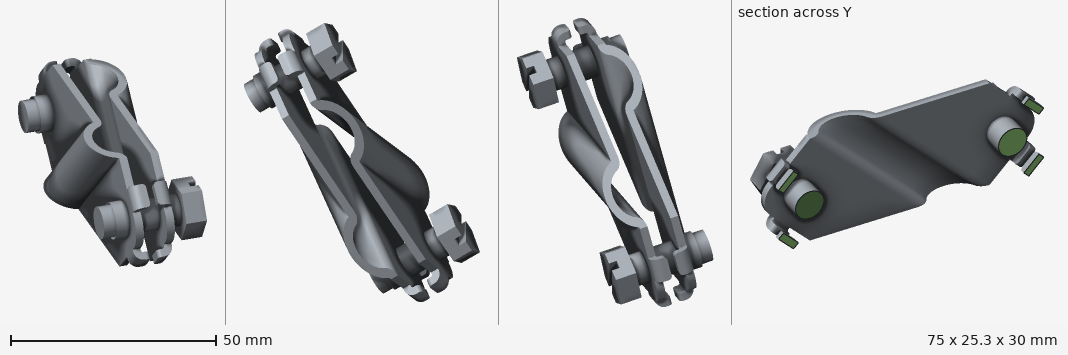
import cadquery as cq
import math


sheet = 2.0
gap = 6.0
plate_length = 74.95
plate_height = 30.0
end_radius = 6.0
corner_reach = plate_length / 2 + end_radius * (math.sqrt(2) - 1)
inner_face = -gap / 2
outer_face = inner_face - sheet

bar_radius = 5.0
trough_radius = bar_radius + sheet
flare_radius = 2.5
trough_angle = 45.0
trough_length = 2 * plate_height
bend_x = math.sqrt(trough_radius**2 - sheet**2)

tab_width = 6.0
tab_reach = 3.0
tab_height = 4.0
tab_inner_radius = 0.5
tab_outer_radius = tab_inner_radius + sheet
tab_tip_radius = 1.0
tab_offset = 18.0

bolt_spacing = 56.4
bolt_diameter = 8.0
bolt_length = 20.0
bolt_tip = -11.4
head_height = 5.3
head_flats = 13.0
slot_width = 2.0
slot_depth = 2.0
bolt_xs = (-bolt_spacing / 2, bolt_spacing / 2)

collar_diameter = 9.2
collar_length = 3.4
countersink_depth = 0.35


def cylinder_y(x, diameter, y_start, y_end):
    """Cylinder along Y at the given x, on the plane z = 0."""
    plane = cq.Plane(origin=(x, y_start, 0), xDir=(1, 0, 0), normal=(0, 1, 0))
    return cq.Workplane(plane).circle(diameter / 2).extrude(y_end - y_start)


def flat_plate(y_start, y_end):
    """Plate outline as a slab with pointed, rounded ends, running towards -Y from y_start to y_end."""
    half_height = plate_height / 2
    corner_x = corner_reach - half_height
    plane = cq.Plane(origin=(0, y_start, 0), xDir=(1, 0, 0), normal=(0, -1, 0))
    slab = (
        cq.Workplane(plane)
        .polyline([
            (corner_reach, 0),
            (corner_x, half_height),
            (-corner_x, half_height),
            (-corner_reach, 0),
            (-corner_x, -half_height),
            (corner_x, -half_height),
        ])
        .close()
        .extrude(y_start - y_end)
    )
    return slab.edges("|Y").edges("<X or >X").fillet(end_radius)


def trough_plane():
    """Cross-section plane of the trough: local x across it, local y away from the inner face."""
    tilt = math.radians(trough_angle)
    along = cq.Vector(math.cos(tilt), 0, math.sin(tilt))
    across = cq.Vector(0, -1, 0).cross(along)
    start = along * (-trough_length / 2) + cq.Vector(0, inner_face, 0)
    return cq.Plane(origin=start, xDir=across, normal=along)


def trough_wall():
    """Rounded ridge standing on the inner face plane."""
    return (
        cq.Workplane(trough_plane())
        .moveTo(-bend_x, 0)
        .lineTo(-bend_x, sheet)
        .threePointArc((0, trough_radius), (bend_x, sheet))
        .lineTo(bend_x, 0)
        .close()
        .extrude(trough_length)
    )


def trough_hollow():
    """Bar seat whose mouth flares tangentially into the inner plate face."""
    flare_centre_x = math.sqrt((bar_radius + flare_radius)**2 - flare_radius**2)
    seat_end_angle = math.atan2(flare_radius, flare_centre_x)
    seat_x = bar_radius * math.cos(seat_end_angle)
    seat_y = bar_radius * math.sin(seat_end_angle)
    mid_angle = (seat_end_angle + math.pi / 2) / 2
    flare_x = flare_centre_x - flare_radius * math.cos(mid_angle)
    flare_y = flare_radius - flare_radius * math.sin(mid_angle)
    return (
        cq.Workplane(trough_plane())
        .moveTo(-flare_centre_x, 0)
        .threePointArc((-flare_x, flare_y), (-seat_x, seat_y))
        .threePointArc((0, bar_radius), (seat_x, seat_y))
        .threePointArc((flare_x, flare_y), (flare_centre_x, 0))
        .close()
        .extrude(trough_length)
    )


def tab(side_x, side_z):
    """Tab bent inwards from one slanted edge of the front plate."""
    outward = cq.Vector(side_x, 0, side_z).normalized()
    width_dir = outward.cross(cq.Vector(0, 1, 0))
    along_edge = cq.Vector(side_x, 0, -side_z).normalized()
    edge_distance = corner_reach / math.sqrt(2)
    centre = outward * edge_distance + along_edge * tab_offset
    plane = cq.Plane(
        origin=centre - width_dir * (tab_width / 2) + cq.Vector(0, outer_face, 0),
        xDir=outward,
        normal=width_dir,
    )
    bend_start = tab_reach - tab_outer_radius
    bend_cos = math.cos(math.pi / 4)
    strip = (
        cq.Workplane(plane)
        .moveTo(-sheet, 0)
        .lineTo(bend_start, 0)
        .threePointArc(
            (bend_start + tab_outer_radius * bend_cos, tab_outer_radius * (1 - bend_cos)),
            (tab_reach, tab_outer_radius),
        )
        .lineTo(tab_reach, tab_height)
        .lineTo(tab_reach - sheet, tab_height)
        .lineTo(tab_reach - sheet, tab_outer_radius)
        .threePointArc(
            (bend_start + tab_inner_radius * bend_cos, tab_outer_radius - tab_inner_radius * bend_cos),
            (bend_start, sheet),
        )
        .lineTo(-sheet, sheet)
        .close()
        .extrude(tab_width)
    )
    tip_corners = strip.faces(">Y").edges(cq.selectors.ParallelDirSelector(outward))
    return tip_corners.fillet(tab_tip_radius)


def clamp_plate():
    """Front plate without collars or bolt holes."""
    crest = inner_face - trough_radius
    plate = flat_plate(inner_face, outer_face)
    plate = plate.union(trough_wall().intersect(flat_plate(inner_face, crest)))
    plate = plate.cut(trough_hollow())
    for side_x in (-1, 1):
        for side_z in (-1, 1):
            plate = plate.union(tab(side_x, side_z))
    return plate


def countersink(x, collar_end):
    """Cone at the mouth of a collar."""
    cone = cq.Solid.makeCone(
        collar_diameter / 2,
        bolt_diameter / 2,
        countersink_depth,
        pnt=cq.Vector(x, collar_end, 0),
        dir=cq.Vector(0, 1, 0),
    )
    return cq.Workplane(cone)


def front_plate():
    """Plate with a collar round each bolt."""
    plate = clamp_plate()
    collar_end = outer_face - collar_length
    for x in bolt_xs:
        plate = plate.union(cylinder_y(x, collar_diameter, collar_end, inner_face))
        plate = plate.cut(cylinder_y(x, bolt_diameter, collar_end, inner_face))
        plate = plate.cut(countersink(x, collar_end))
    return plate


def rear_plate():
    """The same plate turned over about X, so its trough crosses the front one."""
    plate = clamp_plate().rotate((0, 0, 0), (1, 0, 0), 180)
    for x in bolt_xs:
        plate = plate.cut(cylinder_y(x, bolt_diameter, -inner_face, -outer_face))
    return plate


def bolt(x):
    """Hexagon bolt with a screwdriver slot along Z across its head."""
    head_seat = bolt_tip + bolt_length
    head_top = head_seat + head_height
    seat_plane = cq.Plane(origin=(x, head_seat, 0), xDir=(1, 0, 0), normal=(0, 1, 0))
    head_corners = head_flats / math.cos(math.pi / 6)
    head = cq.Workplane(seat_plane).polygon(6, head_corners).extrude(head_height)
    slot = cq.Workplane("XY").box(slot_width, slot_depth, head_corners)
    slot = slot.translate((x, head_top - slot_depth / 2, 0))
    shank = cylinder_y(x, bolt_diameter, bolt_tip, head_seat)
    return head.union(shank).cut(slot)


bolts = [bolt(x).val() for x in bolt_xs]
result = cq.Compound.makeCompound([front_plate().val(), rear_plate().val(), *bolts])